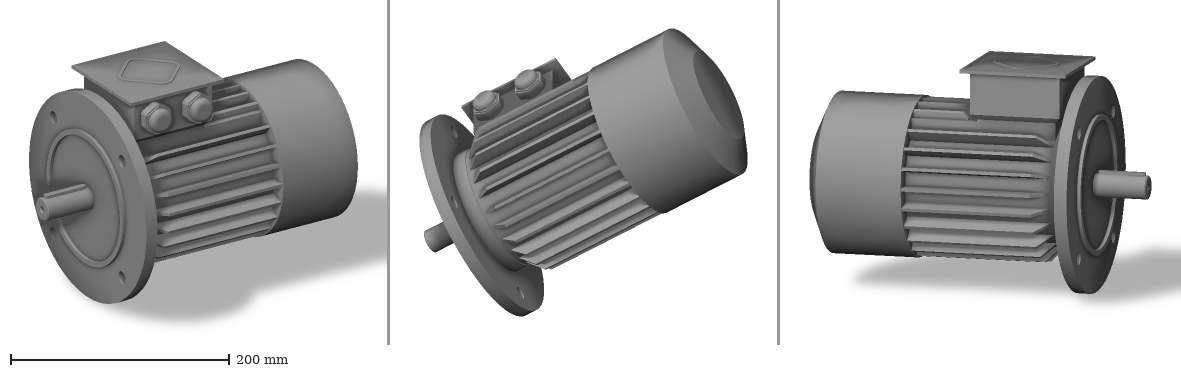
import cadquery as cq
import math


total_length = 310
total_height = 211.0

flange_diameter = 200.0
flange_thickness = 12.0
flange_hole_diameter = 12.0
flange_hole_circle = 165.0
flange_hole_count = 4
flange_hole_first_angle = 45
spigot_diameter = 130.0
spigot_height = 3.5
recess_diameter = 120.0

shaft_diameter = 22.0
shaft_length = 50.0
shaft_chamfer = 1.0
center_hole_diameter = 5.0
center_hole_depth = 10.0
drill_point_angle = 118
center_countersink_diameter = 7.0
key_width = 6.0
key_length = 45.0
key_top = 13.5
key_end_gap = 2.5

collar_diameter = 120.0
collar_end = 25.0
body_diameter = 118.0
cowl_diameter = 149.0
cowl_start = 165.0
cowl_taper_start = 245.8
cowl_end = total_length - shaft_length
cowl_end_diameter = 90.0

fin_radius = 73.2
fin_thickness = 3.0
fin_start = 28.5
radial_fin_pitch = 15
radial_fin_first = -225
radial_fin_last = 45
upright_fin_pitch = 15.0
upright_fins_per_side = 2
upright_fin_start = 112.8
upright_fin_start_radius = 68.5

box_center_y = 65.5
lid_size = 101.0
lid_thickness = 3.0
lid_top = 110.0
box_size = 85.0
box_bottom = 67.5
neck_size = 74.7
neck_bottom = box_bottom - (box_size - neck_size) / 2
saddle_top = 60.0

frame_side = 51.0
frame_corner_radius = 11.0
frame_width = 2.8
frame_height = total_height - flange_diameter / 2 - lid_top
frame_center_y = 66.5

gland_spacing = 44.5
gland_z = 88.0
nut_start = 44.3
nut_end = 53.0
nut_across_flats = 27.0
nut_corner_diameter = 29.5
gland_collar_across_flats = 24.5
gland_collar_end = 54.5
cap_diameter = 23.2
cap_end = 61.5
cap_rounding = 5.0


def turned(profile):
    """Solid of revolution about the Y axis from (radius, y) points."""
    return cq.Workplane("XY").polyline(profile).close().revolve(360, (0, 0, 0), (0, 1, 0))


def disc(diameter, y_from, y_to):
    """Cylinder about the Y axis."""
    return cq.Workplane("XZ", origin=(0, y_from, 0)).circle(diameter / 2).extrude(y_from - y_to)


def square_block(size, z_from, z_to):
    """Square block centred on the terminal box."""
    plane = cq.Workplane("XY", origin=(0, box_center_y, z_from))
    return plane.rect(size, size).extrude(z_to - z_from)


def make_flange():
    flange = disc(flange_diameter, 0, flange_thickness)
    spigot = disc(spigot_diameter, -spigot_height, 0).cut(disc(recess_diameter, -spigot_height, 0))
    holes = (
        cq.Workplane("XZ")
        .polarArray(flange_hole_circle / 2, flange_hole_first_angle, 360, flange_hole_count)
        .circle(flange_hole_diameter / 2)
        .extrude(-flange_thickness)
    )
    return flange.cut(holes).union(spigot)


def make_shaft():
    shaft = disc(shaft_diameter, -shaft_length, flange_thickness)
    shaft = shaft.faces("<Y").chamfer(shaft_chamfer)
    key_center_y = -shaft_length + key_end_gap + key_length / 2
    key = (
        cq.Workplane("XY", origin=(0, key_center_y, 0))
        .slot2D(key_length, key_width, 90)
        .extrude(key_top)
    )
    hole_radius = center_hole_diameter / 2
    countersink_radius = center_countersink_diameter / 2
    drill_point_length = hole_radius / math.tan(math.radians(drill_point_angle / 2))
    center_hole = turned([
        (0, -shaft_length),
        (countersink_radius, -shaft_length),
        (hole_radius, -shaft_length + countersink_radius - hole_radius),
        (hole_radius, -shaft_length + center_hole_depth),
        (0, -shaft_length + center_hole_depth + drill_point_length),
    ])
    return shaft.union(key).cut(center_hole)


def make_body():
    body = disc(body_diameter, flange_thickness, cowl_start)
    collar = disc(collar_diameter, flange_thickness, collar_end)
    cowl = turned([
        (0, cowl_start),
        (cowl_diameter / 2, cowl_start),
        (cowl_diameter / 2, cowl_taper_start),
        (cowl_end_diameter / 2, cowl_end),
        (0, cowl_end),
    ])
    return body.union(collar).union(cowl)


def fin_envelope(start_y, start_radius):
    """Turned shape that bounds the fins, with a 45 degree bevel at the flange end."""
    return turned([
        (0, start_y),
        (start_radius, start_y),
        (fin_radius, start_y + fin_radius - start_radius),
        (fin_radius, cowl_start),
        (0, cowl_start),
    ])


def fin_blade(x, start_y):
    """Upright plate from the axis height to above the fin tips."""
    plane = cq.Workplane("XY", origin=(x, (start_y + cowl_start) / 2, 0))
    return plane.rect(fin_thickness, cowl_start - start_y).extrude(flange_diameter / 2)


def make_radial_fins():
    blade = fin_blade(0, fin_start).intersect(fin_envelope(fin_start, body_diameter / 2))
    fins = cq.Workplane("XY")
    for angle in range(radial_fin_first, radial_fin_last + 1, radial_fin_pitch):
        fins = fins.union(blade.rotate((0, 0, 0), (0, 1, 0), 90 - angle))
    return fins


def make_upright_fins():
    envelope = fin_envelope(upright_fin_start, upright_fin_start_radius)
    fins = cq.Workplane("XY")
    for index in range(-upright_fins_per_side, upright_fins_per_side + 1):
        fins = fins.union(fin_blade(index * upright_fin_pitch, upright_fin_start).intersect(envelope))
    return fins


def make_terminal_box():
    saddle_start = box_center_y - neck_size / 2
    saddle = (
        cq.Workplane("XY", origin=(0, (saddle_start + cowl_start) / 2, 0))
        .rect(neck_size, cowl_start - saddle_start)
        .extrude(saddle_top)
    )
    neck = square_block(neck_size, 0, neck_bottom)
    flare = (
        cq.Workplane("XY", origin=(0, box_center_y, neck_bottom))
        .rect(neck_size, neck_size)
        .workplane(offset=box_bottom - neck_bottom)
        .rect(box_size, box_size)
        .loft(ruled=True)
    )
    box = square_block(box_size, box_bottom, lid_top - lid_thickness)
    lid = square_block(lid_size, lid_top - lid_thickness, lid_top)
    return saddle.union(neck).union(flare).union(box).union(lid)


def rounded_diamond(side, corner_radius):
    block = cq.Workplane("XY").rect(side, side).extrude(frame_height)
    block = block.edges("|Z").fillet(corner_radius)
    return block.rotate((0, 0, 0), (0, 0, 1), 45).translate((0, frame_center_y, lid_top))


def make_lid_frame():
    outer = rounded_diamond(frame_side, frame_corner_radius)
    inner = rounded_diamond(frame_side - 2 * frame_width, frame_corner_radius - frame_width)
    return outer.cut(inner)


def gland_cylinder(diameter, x_from, x_to):
    plane = cq.Workplane("YZ", origin=(x_from, 0, gland_z))
    return plane.circle(diameter / 2).extrude(x_to - x_from)


def gland_hexagon(across_flats, x_from, x_to):
    """Hexagonal prism along +X with one corner pointing up."""
    corner_to_corner = across_flats / math.cos(math.radians(30))
    plane = cq.Workplane("YZ", origin=(x_from, 0, gland_z)).transformed(rotate=(0, 0, 90))
    return plane.polygon(6, corner_to_corner).extrude(x_to - x_from)


def make_gland():
    """Cable gland along +X: hexagon nut with rounded corners, hexagonal collar and domed cap."""
    nut = gland_hexagon(nut_across_flats, nut_start, nut_end)
    nut = nut.intersect(gland_cylinder(nut_corner_diameter, nut_start, nut_end))
    collar = gland_hexagon(gland_collar_across_flats, nut_end, gland_collar_end)
    cap = gland_cylinder(cap_diameter, box_size / 2, cap_end)
    cap = cap.faces(">X").edges().fillet(cap_rounding)
    return cap.union(nut).union(collar)


result = make_body().union(make_flange()).union(make_shaft())
result = result.union(make_radial_fins()).union(make_upright_fins())
result = result.union(make_terminal_box()).union(make_lid_frame())
for side in (-1, 1):
    gland_y = box_center_y + side * gland_spacing / 2
    result = result.union(make_gland().translate((0, gland_y, 0)))